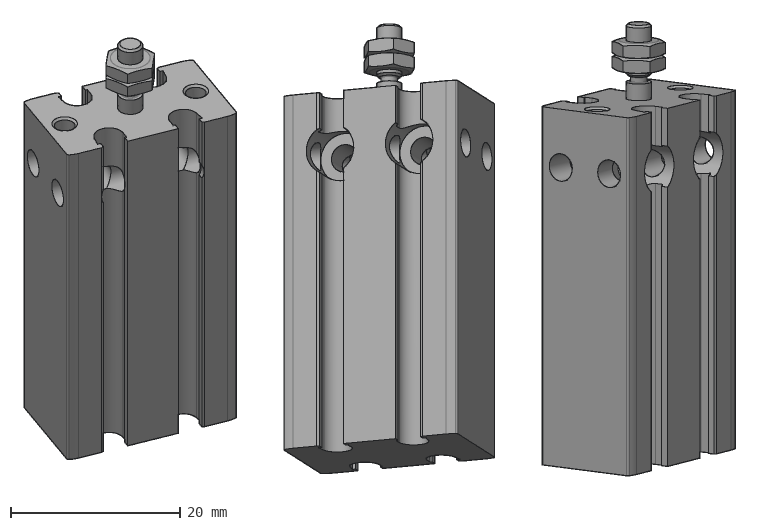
import cadquery as cq
import math

body_width = 13.0
body_depth = 22.0
body_height = 43.0
half_width = body_width / 2
half_depth = body_depth / 2
side_flat_end = 9.65
shoulder_radius = 3.5
corner_radius = 0.3

slot_center_y = 4.83
mouth_width = 3.1
slot_radius = 1.8
slot_bottom_x = 2.8
lip_depth = 0.9
lip_bevel_depth = 0.13
lip_bevel_width = 0.3
outer_wall_tilt = math.radians(8)
mouth_overrun = 1.0

cross_hole_diameter = 3.3
cross_hole_z = 36.0
side_hole_y = 5.0
face_hole_x = 3.5
counterbore_diameter = 6.0
counterbore_depth = 4.8
thread_diameter = 3.0
thread_core_diameter = 2.46
thread_chamfer = (thread_diameter - thread_core_diameter) / 2
tapped_hole_y = 8.5
tapped_hole_depth = 6.0

rod_diameter = 3.0
rod_insertion = 10.0
rod_top_z = 52.0
neck_diameter = 2.0
neck_bottom_z = 45.0
neck_length = 0.75
neck_fillet_radius = 0.1

nut_flats = 5.5
nut_thickness = 1.8
nut_face_diameter = 4.7
nut_chamfer_height = 0.25
nut_stack_bottom_z = 46.4
nut_count = 2


def block():
    """Plain block whose narrow ends have rounded shoulders."""
    arc_center_x = half_width - shoulder_radius
    end_rise = half_depth - side_flat_end
    end_x = arc_center_x + math.sqrt(shoulder_radius**2 - end_rise**2)
    mid_angle = math.asin(end_rise / shoulder_radius) / 2
    mid_x = arc_center_x + shoulder_radius * math.cos(mid_angle)
    mid_y = side_flat_end + shoulder_radius * math.sin(mid_angle)
    return (
        cq.Workplane("XY")
        .moveTo(half_width, -side_flat_end)
        .lineTo(half_width, side_flat_end)
        .threePointArc((mid_x, mid_y), (end_x, half_depth))
        .lineTo(-end_x, half_depth)
        .threePointArc((-mid_x, mid_y), (-half_width, side_flat_end))
        .lineTo(-half_width, -side_flat_end)
        .threePointArc((-mid_x, -mid_y), (-end_x, -half_depth))
        .lineTo(end_x, -half_depth)
        .threePointArc((mid_x, -mid_y), (half_width, -side_flat_end))
        .close()
        .extrude(body_height)
    )


def slot_cutter():
    """Undercut round-bottomed slot of the +X +Y quadrant, running the full height."""
    arc_x = slot_bottom_x + slot_radius
    mouth_x = half_width + mouth_overrun
    lip_x = half_width - lip_depth
    inner_lip_y = slot_center_y - mouth_width / 2
    outer_lip_y = slot_center_y + mouth_width / 2
    bevel_end_y = outer_lip_y + lip_bevel_width
    inner_wall_y = slot_center_y - slot_radius
    tangent_x = arc_x - slot_radius * math.sin(outer_wall_tilt)
    tangent_y = slot_center_y + slot_radius * math.cos(outer_wall_tilt)
    outer_wall_end_y = tangent_y + (lip_x - tangent_x) * math.tan(outer_wall_tilt)
    return (
        cq.Workplane("XY")
        .moveTo(mouth_x, inner_lip_y)
        .lineTo(lip_x, inner_lip_y)
        .lineTo(lip_x, inner_wall_y)
        .lineTo(arc_x, inner_wall_y)
        .threePointArc((slot_bottom_x, slot_center_y), (tangent_x, tangent_y))
        .lineTo(lip_x, outer_wall_end_y)
        .lineTo(lip_x, outer_lip_y)
        .lineTo(half_width - lip_bevel_depth, outer_lip_y)
        .lineTo(half_width, bevel_end_y)
        .lineTo(mouth_x, bevel_end_y)
        .close()
        .extrude(body_height)
    )


def is_corner_edge(edge):
    """True for the edges lying in the narrow +Y and -Y faces."""
    return math.isclose(abs(edge.Center().y), half_depth)


def profiled_block():
    """Block with its four slots and its rounded upright corners."""
    body = block()
    slot = slot_cutter()
    for cutter in (slot, slot.mirror("YZ")):
        body = body.cut(cutter).cut(cutter.mirror("XZ"))
    return body.edges("|Z").filter(is_corner_edge).fillet(corner_radius)


def cross_holes():
    """Mounting holes along X, counterbored from -X, and plain holes along Y."""
    along_x = (
        cq.Workplane("YZ", origin=(-half_width, 0, 0))
        .pushPoints([(-side_hole_y, cross_hole_z), (side_hole_y, cross_hole_z)])
    )
    through_x = along_x.circle(cross_hole_diameter / 2).extrude(body_width)
    counterbores = along_x.circle(counterbore_diameter / 2).extrude(counterbore_depth)
    through_y = (
        cq.Workplane("XZ", origin=(0, half_depth, 0))
        .pushPoints([(-face_hole_x, cross_hole_z), (face_hole_x, cross_hole_z)])
        .circle(cross_hole_diameter / 2)
        .extrude(body_depth)
    )
    return through_x.union(counterbores).union(through_y)


def tapped_hole(y):
    """Blind hole in the top face with a countersunk mouth."""
    core_radius = thread_core_diameter / 2
    return (
        cq.Workplane("XZ", origin=(0, y, 0))
        .moveTo(0, body_height)
        .lineTo(thread_diameter / 2, body_height)
        .lineTo(core_radius, body_height - thread_chamfer)
        .lineTo(core_radius, body_height - tapped_hole_depth)
        .lineTo(0, body_height - tapped_hole_depth)
        .close()
        .revolve(360, (0, 0, 0), (0, 1, 0))
    )


def make_housing():
    """Housing with cross holes, tapped holes and the bore that holds the rod."""
    body = profiled_block().cut(cross_holes())
    for y in (-tapped_hole_y, tapped_hole_y):
        body = body.cut(tapped_hole(y))
    rod_bore = (
        cq.Workplane("XY", origin=(0, 0, body_height - rod_insertion))
        .circle(rod_diameter / 2)
        .extrude(rod_insertion)
    )
    return body.cut(rod_bore)


def make_rod():
    """Turned rod: plain shank, filleted undercut neck and a stud chamfered at both ends."""
    neck_top_z = neck_bottom_z + neck_length
    core_radius = thread_core_diameter / 2
    thread_radius = thread_diameter / 2
    neck_radius = neck_diameter / 2
    fillet_x = neck_radius + neck_fillet_radius
    fillet_bottom_z = neck_bottom_z + neck_fillet_radius
    fillet_top_z = neck_top_z - neck_fillet_radius
    arc_inset = neck_fillet_radius * (1 - math.sqrt(0.5))
    return (
        cq.Workplane("XZ")
        .moveTo(0, body_height - rod_insertion)
        .lineTo(rod_diameter / 2, body_height - rod_insertion)
        .lineTo(rod_diameter / 2, neck_bottom_z)
        .lineTo(fillet_x, neck_bottom_z)
        .threePointArc((neck_radius + arc_inset, neck_bottom_z + arc_inset), (neck_radius, fillet_bottom_z))
        .lineTo(neck_radius, fillet_top_z)
        .threePointArc((neck_radius + arc_inset, neck_top_z - arc_inset), (fillet_x, neck_top_z))
        .lineTo(core_radius, neck_top_z)
        .lineTo(thread_radius, neck_top_z + thread_chamfer)
        .lineTo(thread_radius, rod_top_z - thread_chamfer)
        .lineTo(core_radius, rod_top_z)
        .lineTo(0, rod_top_z)
        .close()
        .revolve(360, (0, 0, 0), (0, 1, 0))
    )


def make_nut(bottom_z):
    """Hexagon nut with flats facing +X and -X, its corners coned off at both faces."""
    corner_diameter = nut_flats / math.cos(math.pi / 6)
    hexagon_radius = corner_diameter / 2
    top_z = bottom_z + nut_thickness
    hexagon = (
        cq.Workplane("XY", origin=(0, 0, bottom_z))
        .transformed(rotate=(0, 0, 30))
        .polygon(6, corner_diameter)
        .extrude(nut_thickness)
    )
    coned_blank = (
        cq.Workplane("XZ")
        .moveTo(thread_diameter / 2, bottom_z)
        .lineTo(nut_face_diameter / 2, bottom_z)
        .lineTo(hexagon_radius, bottom_z + nut_chamfer_height)
        .lineTo(hexagon_radius, top_z - nut_chamfer_height)
        .lineTo(nut_face_diameter / 2, top_z)
        .lineTo(thread_diameter / 2, top_z)
        .close()
        .revolve(360, (0, 0, 0), (0, 1, 0))
    )
    return hexagon.intersect(coned_blank)


housing = make_housing()
rod = make_rod()
nuts = [make_nut(nut_stack_bottom_z + i * nut_thickness) for i in range(nut_count)]

result = cq.Compound.makeCompound([housing.val(), rod.val(), *[nut.val() for nut in nuts]])